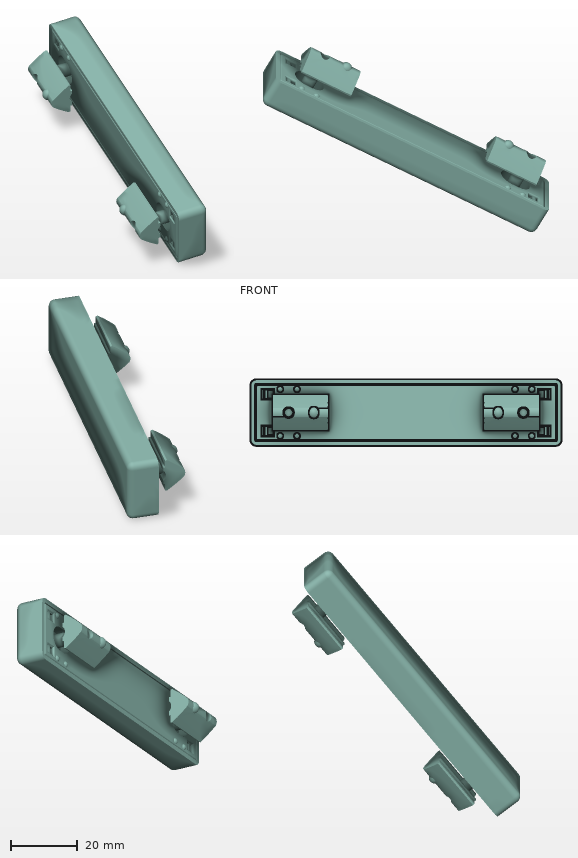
import cadquery as cq
import math

SIDES = (-1, 1)

HOUSING_LENGTH = 93.0
HOUSING_HEIGHT = 20.0
HOUSING_DEPTH = 9.5
HOUSING_RADIUS = 1.95
RIM_WIDTH = 1.4

PLATE_LENGTH = HOUSING_LENGTH - 2 * RIM_WIDTH
PLATE_HEIGHT = HOUSING_HEIGHT - 2 * RIM_WIDTH
PLATE_THICKNESS = 3.2
PLATE_CORNER_RADIUS = 0.6
PLATE_BEVEL_WIDTH = 0.5
PLATE_BEVEL_DEPTH = 0.5

POST_X = 35.1
POST_DIAMETER = 4.2
SLOT_WIDTH = 7.5
SLOT_LENGTH = 9.8

BUMP_DX = 2.5
BUMP_Z = 7.0
BUMP_RADIUS = 0.9
BUMP_HEIGHT = 0.6

WINDOW_OUTER_X = 43.2
WINDOW_LENGTH = 3.9
WINDOW_HEIGHT = 3.35
WINDOW_Z = 5.5
WINDOW_DEPTH = 0.4
WINDOW_DRAFT = 0.3
WINDOW_OUTER_DRAFT = 0.6
LATCH_HEIGHT = 2.3
LATCH_TOP_START = 1.1
LATCH_TOP_END = 1.95
LATCH_GROOVE_DEPTH = 0.8
LATCH_RAMP_START = 2.2
LATCH_RAMP_DEPTH = 0.65
LATCH_POCKET_DEPTH = 1.9

BAR_X = 31.5
BAR_LENGTH = 16.8
BAR_BACK_Y = -3.7
BAR_HALF_HEIGHT = 5.5
BAR_EDGE_DEPTH = 0.6
BAR_EDGE_INSET = 0.2
STEP_Y = -3.2
STEP_HALF_HEIGHT = 3.0
GROOVE_RADIUS = 2.2
GROOVE_DEPTH = 0.8
NOSE_Y = -9.95
NOSE_SIDE_Y = -9.6
NOSE_HALF_HEIGHT = 1.3
FLANK_MID_Y = -6.6
FLANK_MID_Z = 3.8
SOCKET_DEPTH = 2.8
RECESS_DIAMETER = 3.3
RECESS_DEPTH = 2.8
RECESS_FLOOR_BEVEL = 0.3

BALL_DIAMETER = 3.5
BALL_SPACING = 7.5
BALL_TIP_Y = -10.8

POST_END_Y = STEP_Y - SOCKET_DEPTH
BALL_X = POST_X - BALL_SPACING
BALL_Y = BALL_TIP_Y + BALL_DIAMETER / 2


def box(length, height, start_y, end_y):
    """A box centred on the Y axis between two Y positions."""
    depth = end_y - start_y
    return cq.Workplane("XY").box(length, depth, height).translate((0, (start_y + end_y) / 2, 0))


def facing_front(y):
    """A workplane at the given y whose local X and Y are the part's X and Z, extruding to -Y."""
    return cq.Workplane("XZ", origin=(0, y, 0))


def cylinder(diameter, x, start_y, end_y):
    """A round bar parallel to Y, at z = 0."""
    return facing_front(start_y).center(x, 0).circle(diameter / 2).extrude(start_y - end_y)


def make_plate_block(start_y, depth, taper=0):
    """A block with the plate's rounded outline, extruded towards -Y."""
    outline = cq.Sketch().rect(PLATE_LENGTH, PLATE_HEIGHT).vertices().fillet(PLATE_CORNER_RADIUS)
    return facing_front(start_y).placeSketch(outline).extrude(depth, taper=taper)


def make_housing():
    body = box(HOUSING_LENGTH, HOUSING_HEIGHT, 0, HOUSING_DEPTH)
    body = body.edges("|Y").fillet(HOUSING_RADIUS)
    body = body.faces(">Y").edges().fillet(HOUSING_RADIUS)
    return body.cut(make_plate_block(PLATE_THICKNESS, PLATE_THICKNESS))


def make_sphere(radius, x, y, z):
    """A sphere with its poles along Y."""
    return cq.Workplane("XY").sphere(radius, direct=(0, -1, 0)).translate((x, y, z))


def make_bump(x, z):
    """A spherical cap standing on the plate."""
    sphere_radius = (BUMP_RADIUS**2 + BUMP_HEIGHT**2) / (2 * BUMP_HEIGHT)
    return make_sphere(sphere_radius, x, sphere_radius - BUMP_HEIGHT, z)


def make_window(side, z):
    """The material removed for one latch window."""
    rim_x = WINDOW_OUTER_X - WINDOW_LENGTH / 2
    floor_length = WINDOW_LENGTH - WINDOW_OUTER_DRAFT - WINDOW_DRAFT
    floor_shift = (WINDOW_DRAFT - WINDOW_OUTER_DRAFT) / 2
    frame = (
        facing_front(0)
        .center(side * rim_x, z)
        .rect(WINDOW_LENGTH, WINDOW_HEIGHT)
        .workplane(offset=-WINDOW_DEPTH)
        .center(side * floor_shift, 0)
        .rect(floor_length, WINDOW_HEIGHT - 2 * WINDOW_DRAFT)
        .loft(ruled=True)
    )
    inner_end = WINDOW_LENGTH - WINDOW_DRAFT
    latch_points = [
        (WINDOW_OUTER_DRAFT, 0),
        (WINDOW_OUTER_DRAFT, LATCH_GROOVE_DEPTH),
        (LATCH_TOP_START, WINDOW_DEPTH),
        (LATCH_TOP_END, WINDOW_DEPTH),
        (LATCH_RAMP_START, LATCH_RAMP_DEPTH),
        (inner_end, LATCH_POCKET_DEPTH),
        (inner_end, 0),
    ]
    space_above_latch = (
        cq.Workplane("XY", origin=(0, 0, z - LATCH_HEIGHT / 2))
        .polyline([(side * (WINDOW_OUTER_X - x), y) for x, y in latch_points])
        .close()
        .extrude(LATCH_HEIGHT)
    )
    return frame.union(space_above_latch)


def make_plate():
    bevel_angle = math.degrees(math.atan2(PLATE_BEVEL_WIDTH, PLATE_BEVEL_DEPTH))
    plate = make_plate_block(PLATE_THICKNESS, PLATE_THICKNESS - PLATE_BEVEL_DEPTH)
    plate = plate.union(make_plate_block(PLATE_BEVEL_DEPTH, PLATE_BEVEL_DEPTH, bevel_angle))
    for side in SIDES:
        for row in SIDES:
            plate = plate.cut(make_window(side, row * WINDOW_Z))
            for dx in (-BUMP_DX, BUMP_DX):
                plate = plate.union(make_bump(side * POST_X + dx, row * BUMP_Z))
        slot = facing_front(PLATE_THICKNESS).center(side * POST_X, 0).slot2D(SLOT_LENGTH, SLOT_WIDTH)
        plate = plate.cut(slot.extrude(PLATE_THICKNESS))
    return plate


def make_post(side):
    return cylinder(POST_DIAMETER, side * POST_X, PLATE_THICKNESS, POST_END_Y)


def make_ball(side):
    return make_sphere(BALL_DIAMETER / 2, side * BALL_X, BALL_Y, 0)


def make_bar(side):
    edge_z = BAR_HALF_HEIGHT - BAR_EDGE_INSET
    groove_half_chord = math.sqrt(GROOVE_RADIUS**2 - (GROOVE_RADIUS - GROOVE_DEPTH) ** 2)
    start_x = side * BAR_X - BAR_LENGTH / 2
    bar = (
        cq.Workplane("YZ", origin=(start_x, 0, 0))
        .moveTo(STEP_Y, groove_half_chord)
        .lineTo(STEP_Y, STEP_HALF_HEIGHT)
        .lineTo(BAR_BACK_Y, STEP_HALF_HEIGHT)
        .lineTo(BAR_BACK_Y, edge_z)
        .lineTo(BAR_BACK_Y - BAR_EDGE_DEPTH, BAR_HALF_HEIGHT)
        .threePointArc((FLANK_MID_Y, FLANK_MID_Z), (NOSE_SIDE_Y, NOSE_HALF_HEIGHT))
        .threePointArc((NOSE_Y, 0), (NOSE_SIDE_Y, -NOSE_HALF_HEIGHT))
        .threePointArc((FLANK_MID_Y, -FLANK_MID_Z), (BAR_BACK_Y - BAR_EDGE_DEPTH, -BAR_HALF_HEIGHT))
        .lineTo(BAR_BACK_Y, -edge_z)
        .lineTo(BAR_BACK_Y, -STEP_HALF_HEIGHT)
        .lineTo(STEP_Y, -STEP_HALF_HEIGHT)
        .lineTo(STEP_Y, -groove_half_chord)
        .threePointArc((STEP_Y - GROOVE_DEPTH, 0), (STEP_Y, groove_half_chord))
        .close()
        .extrude(BAR_LENGTH)
    )
    recess = cylinder(RECESS_DIAMETER, side * POST_X, NOSE_Y + RECESS_DEPTH, NOSE_Y)
    recess = recess.faces(">Y").chamfer(RECESS_FLOOR_BEVEL)
    return bar.cut(make_post(side)).cut(make_ball(side)).cut(recess)


housing = make_housing()
plate = make_plate()
posts = [make_post(side) for side in SIDES]
bars = [make_bar(side) for side in SIDES]
balls = [make_ball(side) for side in SIDES]

result = cq.Compound.makeCompound(
    [housing.val(), plate.val(), *[body.val() for body in posts + bars + balls]]
)